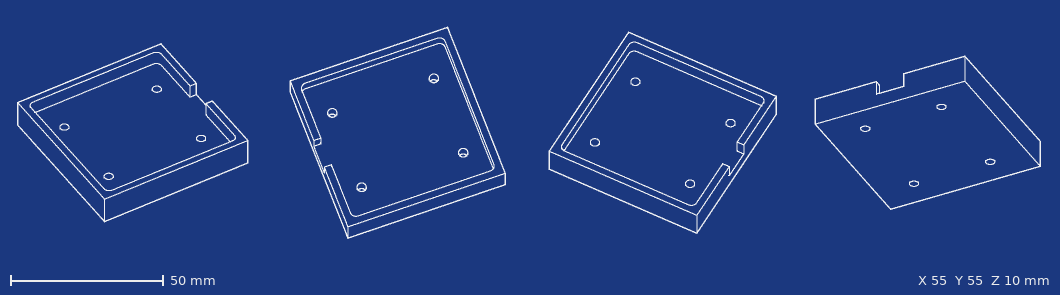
import cadquery as cq

side = 55.0
height = 10.0
wall = 2.5
floor_thickness = height / 2
pocket_corner_radius = 2.0

hole_diameter = 3.0
hole_spacing_x = 28.0
hole_spacing_y = 35.5

notch_width = 10.0

inner_side = side - 2 * wall
wall_height = height - floor_thickness

body = cq.Workplane("XY").box(side, side, height, centered=(True, True, False))

pocket = (
    cq.Workplane("XY", origin=(0, 0, floor_thickness))
    .rect(inner_side, inner_side)
    .extrude(wall_height)
    .edges("|Z")
    .fillet(pocket_corner_radius)
)

holes = (
    cq.Workplane("XY")
    .rect(hole_spacing_x, hole_spacing_y, forConstruction=True)
    .vertices()
    .circle(hole_diameter / 2)
    .extrude(floor_thickness)
)

notch = (
    cq.Workplane("XY", origin=(0, (side - wall) / 2, floor_thickness))
    .rect(notch_width, wall)
    .extrude(wall_height)
)

result = body.cut(pocket).cut(holes).cut(notch).clean()